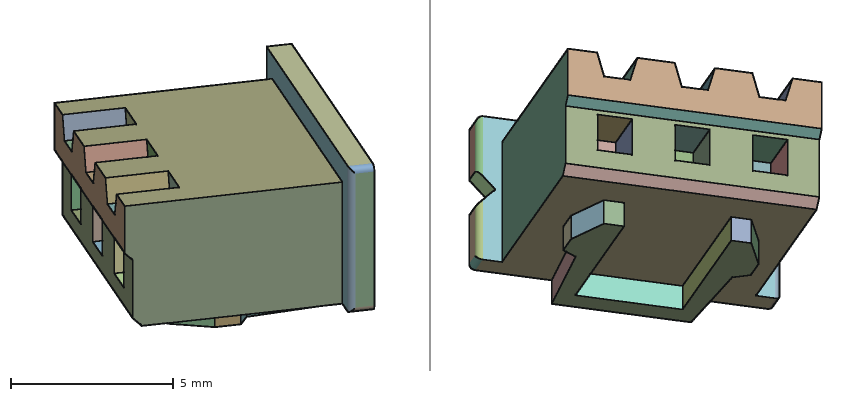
import cadquery as cq

FLANGE_WIDTH = 9.8
FLANGE_HEIGHT = 4.9
FLANGE_THICKNESS = 0.8
FLANGE_FILLET = 0.2
KEY_NOTCH_DEPTH = 0.6
KEY_NOTCH_HEIGHT = 2 * KEY_NOTCH_DEPTH
KEY_NOTCH_Z = FLANGE_HEIGHT / 2

OVERALL_LENGTH = 7.75
BODY_WIDTH = 8.17
BODY_HEIGHT = FLANGE_HEIGHT - 0.8
STEP_Z = 2.51
STEP_DEPTH = 0.25
BOTTOM_CHAMFER = 0.29

CONTACT_COUNT = 3
CONTACT_PITCH = 2.5
CAVITY_WIDTH = 1.12
CAVITY_HEIGHT = 1.22
CAVITY_BOTTOM = 0.89
GROOVE_TOP_WIDTH = 1.29
GROOVE_FLOOR_WIDTH = 0.84
GROOVE_DEPTH = 0.78
GROOVE_LENGTH = 2.0

LATCH_HEIGHT = 0.8
LATCH_LENGTH = 5.93
BARB_HALF_WIDTH = 3.02
TIP_HALF_WIDTH = 2.37
BASE_HALF_WIDTH = 2.24
STEM_HALF_WIDTH = 2.52
INNER_HALF_WIDTH = 1.72
STEM_LENGTH = 3.43
BARB_START = 3.75
BARB_END = 4.58


def make_flange():
    plate = cq.Workplane("XY").box(
        FLANGE_WIDTH, FLANGE_THICKNESS, FLANGE_HEIGHT, centered=(True, False, False)
    ).translate((0, -FLANGE_THICKNESS, 0))
    plate = plate.edges("|Y or (|Z and <Y)").fillet(FLANGE_FILLET)
    left = -FLANGE_WIDTH / 2
    notch = (
        cq.Workplane("XZ")
        .moveTo(left, KEY_NOTCH_Z - KEY_NOTCH_HEIGHT / 2)
        .lineTo(left + KEY_NOTCH_DEPTH, KEY_NOTCH_Z)
        .lineTo(left, KEY_NOTCH_Z + KEY_NOTCH_HEIGHT / 2)
        .close()
        .extrude(FLANGE_THICKNESS)
    )
    return plate.cut(notch)


def make_body():
    front = -OVERALL_LENGTH
    lower_front = front + STEP_DEPTH
    profile = [
        (0, 0),
        (lower_front + BOTTOM_CHAMFER, 0),
        (lower_front, BOTTOM_CHAMFER),
        (lower_front, STEP_Z - STEP_DEPTH),
        (front, STEP_Z),
        (front, BODY_HEIGHT),
        (0, BODY_HEIGHT),
    ]
    return cq.Workplane("YZ").polyline(profile).close().extrude(BODY_WIDTH / 2, both=True)


def make_contact_cuts(x):
    """Blind cavity for one contact and the tapered groove above it."""
    cavity = cq.Workplane("XY").box(
        CAVITY_WIDTH, GROOVE_LENGTH, CAVITY_HEIGHT, centered=(True, False, False)
    ).translate((x, -OVERALL_LENGTH, CAVITY_BOTTOM))
    floor_z = BODY_HEIGHT - GROOVE_DEPTH
    groove_outline = [
        (x - GROOVE_TOP_WIDTH / 2, BODY_HEIGHT),
        (x - GROOVE_FLOOR_WIDTH / 2, floor_z),
        (x + GROOVE_FLOOR_WIDTH / 2, floor_z),
        (x + GROOVE_TOP_WIDTH / 2, BODY_HEIGHT),
    ]
    groove = (
        cq.Workplane("XZ", origin=(0, GROOVE_LENGTH - OVERALL_LENGTH, 0))
        .polyline(groove_outline)
        .close()
        .extrude(GROOVE_LENGTH)
    )
    return cavity.union(groove)


def make_latch():
    right_half = [
        (0, 0),
        (BASE_HALF_WIDTH, 0),
        (STEM_HALF_WIDTH, -STEM_LENGTH),
        (BARB_HALF_WIDTH, -BARB_START),
        (BARB_HALF_WIDTH, -BARB_END),
        (TIP_HALF_WIDTH, -LATCH_LENGTH),
        (INNER_HALF_WIDTH, -LATCH_LENGTH),
        (INNER_HALF_WIDTH, -FLANGE_THICKNESS),
        (0, -FLANGE_THICKNESS),
    ]
    half = cq.Workplane("XY").polyline(right_half).close().extrude(-LATCH_HEIGHT)
    return half.union(half.mirror("YZ"))


result = make_flange().union(make_body()).union(make_latch())
for index in range(CONTACT_COUNT):
    contact_x = (index - (CONTACT_COUNT - 1) / 2) * CONTACT_PITCH
    result = result.cut(make_contact_cuts(contact_x))